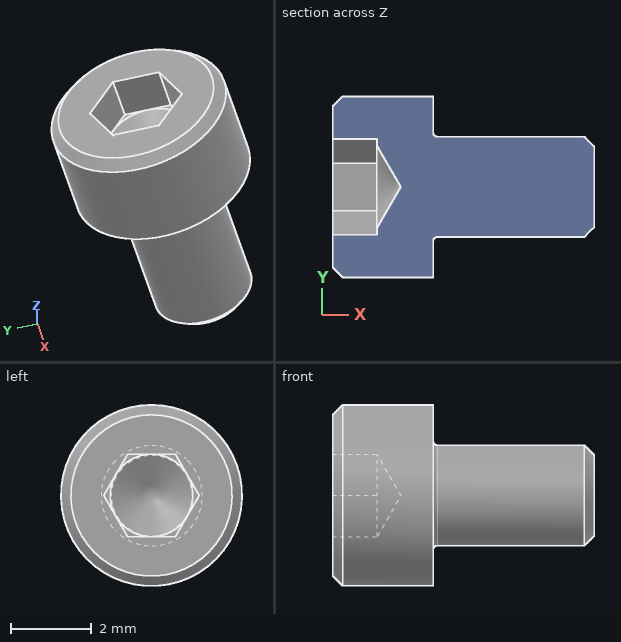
import cadquery as cq
import math

head_diameter = 4.5
head_length = 2.5
head_chamfer = 0.25
shank_diameter = 2.5
shank_length = 4.0
tip_chamfer = 0.25
neck_fillet = 0.1
x_bearing_face = 0.0

hex_across_flats = 2.05
hex_depth = 1.1
drill_point_angle = 120.0

x_socket_face = x_bearing_face - head_length
x_tip = x_bearing_face + shank_length
head_radius = head_diameter / 2
shank_radius = shank_diameter / 2


def make_body():
    """Head and shank turned about X, with both end chamfers and the neck fillet."""
    arc_offset = neck_fillet * (1 - math.sqrt(0.5))
    return (
        cq.Workplane("XZ")
        .moveTo(x_socket_face, 0)
        .lineTo(x_socket_face, head_radius - head_chamfer)
        .lineTo(x_socket_face + head_chamfer, head_radius)
        .lineTo(x_bearing_face, head_radius)
        .lineTo(x_bearing_face, shank_radius + neck_fillet)
        .threePointArc(
            (x_bearing_face + arc_offset, shank_radius + arc_offset),
            (x_bearing_face + neck_fillet, shank_radius),
        )
        .lineTo(x_tip - tip_chamfer, shank_radius)
        .lineTo(x_tip, shank_radius - tip_chamfer)
        .lineTo(x_tip, 0)
        .close()
        .revolve(360, (0, 0, 0), (1, 0, 0))
    )


def make_socket():
    """Hexagonal recess, two flats facing +Z and -Z, ending in a drill-point cone."""
    across_corners = hex_across_flats / math.cos(math.pi / 6)
    hexagon = (
        cq.Workplane("YZ", origin=(x_socket_face, 0, 0))
        .polygon(6, across_corners)
        .extrude(hex_depth)
    )
    cone_radius = hex_across_flats / 2
    cone_depth = cone_radius / math.tan(math.radians(drill_point_angle / 2))
    x_hex_floor = x_socket_face + hex_depth
    cone = (
        cq.Workplane("XZ")
        .moveTo(x_hex_floor, 0)
        .lineTo(x_hex_floor, cone_radius)
        .lineTo(x_hex_floor + cone_depth, 0)
        .close()
        .revolve(360, (0, 0, 0), (1, 0, 0))
    )
    return hexagon.union(cone)


result = make_body().cut(make_socket())